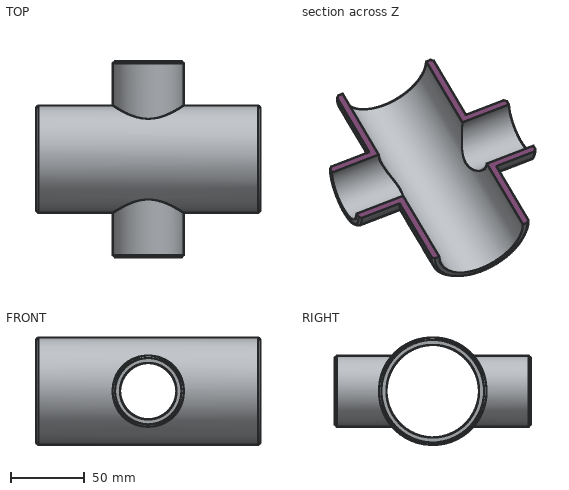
import cadquery as cq

run_length = 152.4
run_diameter = 73.0
run_bore = 62.6
branch_length = 133.0
branch_diameter = 48.3
branch_bore = 38.1
end_chamfer = 1.7


def cylinder(plane, diameter, length):
    """Solid cylinder centred on the origin, with its axis normal to the plane."""
    return cq.Workplane(plane).circle(diameter / 2).extrude(length / 2, both=True)


def chamfered_pipe_body(plane, end_faces, diameter, length):
    """Solid pipe envelope with both outer end rims chamfered."""
    return cylinder(plane, diameter, length).faces(end_faces).edges().chamfer(end_chamfer)


run = chamfered_pipe_body("YZ", "|X", run_diameter, run_length)
branch = chamfered_pipe_body("XZ", "|Y", branch_diameter, branch_length)

result = (
    run.union(branch)
    .cut(cylinder("YZ", run_bore, run_length))
    .cut(cylinder("XZ", branch_bore, branch_length))
)